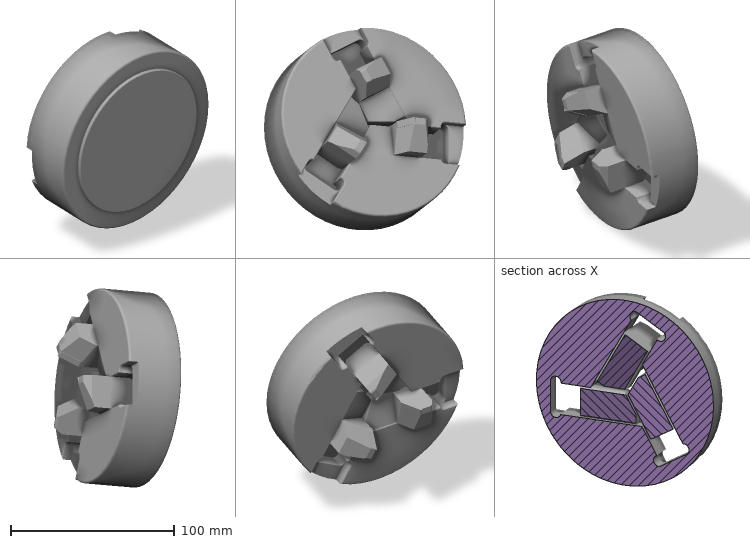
import cadquery as cq
import math


body_radius = 60
body_length = 34.8
rim_radius = 1.5
boss_radius = 48
boss_length = 2.2
boss_chamfer = 0.5

station_count = 3
slot_width = 20.0
slot_depth = 15.2
edge_chamfer = 0.5
relief_inner_u = 43.5
relief_outer_u = 50.0
relief_corner_radius = 3.0
relief_top_w = 4.0
relief_bottom_w = -22.3
ledge_depth = 6

jaw_inner_u = -7.5
jaw_outer_u = 30.4
nose_inner_u = 12.8
foot_chamfer = 2.4
jaw_offsets = [0, 2.4, 2.4]
holder_front_x = -17.3
front_relief_angle = 22.5
shelf_root_x = 7.2
shelf_angle = 18
corner_start_u = 27.7
corner_angle = 60
corner_radius = 1.7

tip_x = -18
tip_u = 20.2
insert_back_x = -4.5
insert_thickness = 4.2
apex_half_angle = 30
insert_nose_radius = 0.8
insert_relief_angle = 6.5
flank_setback = 0.2
flank_relief_angle = 7.5


def tangent(angle):
    """Tangent of an angle in degrees."""
    return math.tan(math.radians(angle))


station_angle = 360 / station_count
miter_slope = 1 / tangent(180 - station_angle)
apex_slope = tangent(apex_half_angle)
apex_x = tip_x - insert_nose_radius
clearance = 2 * body_radius


def across_plane(x):
    """Workplane at depth x with local axes (u, w); it extrudes forwards, towards -X."""
    return cq.Workplane(cq.Plane(origin=(x, 0, 0), xDir=(0, -1, 0), normal=(-1, 0, 0)))


def side_plane(w):
    """Workplane at height w with local axes (u, x); it extrudes upwards, towards +w."""
    return cq.Workplane(cq.Plane(origin=(0, 0, w), xDir=(0, -1, 0), normal=(0, 0, 1)))


def at_station(shape, index):
    """Turn a shape from the first station to the given one."""
    return shape.rotate((0, 0, 0), (-1, 0, 0), index * station_angle)


def make_slot():
    """Space of one slot: a channel from the mitre at the axis, an end relief and a rim ledge."""
    channel = (
        across_plane(slot_depth)
        .polyline([
            (0, 0),
            (relief_outer_u - relief_corner_radius, 0),
            (relief_outer_u - relief_corner_radius, -slot_width),
            (-slot_width * miter_slope, -slot_width),
        ])
        .close()
        .extrude(slot_depth)
    )
    relief_length = relief_outer_u - relief_inner_u
    relief_width = relief_top_w - relief_bottom_w
    relief_middle_u = (relief_inner_u + relief_outer_u) / 2
    relief_middle_w = (relief_top_w + relief_bottom_w) / 2
    relief = (
        across_plane(slot_depth)
        .center(relief_middle_u, relief_middle_w)
        .rect(relief_length, relief_width)
        .extrude(slot_depth)
        .edges("|X")
        .fillet(relief_corner_radius)
    )
    ledge = (
        across_plane(ledge_depth)
        .center(relief_middle_u + body_radius / 2, relief_middle_w)
        .rect(body_radius, relief_width)
        .extrude(ledge_depth)
    )
    return channel.union(relief).union(ledge)


def make_body():
    """Disc with a rear boss, three slots with chamfered front edges, and rounded rims."""
    disc = cq.Workplane("YZ").circle(body_radius).extrude(body_length)
    rounded_disc = disc.edges("%CIRCLE").fillet(rim_radius)
    slot = make_slot()
    for index in range(station_count):
        disc = disc.cut(at_station(slot, index))
    disc = (
        disc.faces("<X")
        .edges()
        .filter(lambda edge: edge.geomType() != "CIRCLE" or edge.radius() < body_radius / 2)
        .chamfer(edge_chamfer)
    )
    boss = cq.Workplane("YZ", origin=(body_length, 0, 0)).circle(boss_radius).extrude(boss_length)
    boss = boss.faces(">X").chamfer(boss_chamfer)
    return disc.intersect(rounded_disc).union(boss)


def make_insert():
    """Triangular insert flush with the cutting face, narrowing below it."""
    half_width = (insert_back_x - apex_x) * apex_slope
    return (
        side_plane(0)
        .polyline([
            (tip_u, apex_x),
            (tip_u - half_width, insert_back_x),
            (tip_u + half_width, insert_back_x),
        ])
        .close()
        .extrude(-insert_thickness, taper=insert_relief_angle)
        .edges("not #Z")
        .fillet(insert_nose_radius)
    )


def jaw_block():
    """Full-height jaw with its mitred inner end, from the slot floor to the front face."""
    return (
        across_plane(slot_depth)
        .polyline([
            (0, 0),
            (jaw_outer_u, 0),
            (jaw_outer_u, -slot_width),
            (jaw_inner_u, -slot_width),
            (jaw_inner_u, jaw_inner_u / miter_slope),
        ])
        .close()
        .extrude(slot_depth - holder_front_x)
        .faces(">X")
        .edges("|Y")
        .chamfer(foot_chamfer)
    )


def front_relief():
    """Space in front of the face that slopes back below the insert."""
    drop = slot_width
    return (
        cq.Workplane("XZ", origin=(0, clearance, 0))
        .polyline([
            (holder_front_x, -insert_thickness),
            (holder_front_x + drop * tangent(front_relief_angle), -insert_thickness - drop),
            (holder_front_x, -insert_thickness - drop),
        ])
        .close()
        .extrude(2 * clearance)
    )


def outer_corner():
    """Space outside the slanted outer corner, which is blended into the front face."""
    blend = corner_radius * tangent(corner_angle / 2)
    turn = math.radians(corner_angle)
    middle = turn / 2
    slant_end_x = holder_front_x + (jaw_outer_u - corner_start_u) * math.tan(turn)
    arc_start_u = corner_start_u - blend
    return (
        side_plane(-slot_width)
        .moveTo(arc_start_u, holder_front_x)
        .threePointArc(
            (
                arc_start_u + corner_radius * math.sin(middle),
                holder_front_x + corner_radius * (1 - math.cos(middle)),
            ),
            (
                corner_start_u + blend * math.cos(turn),
                holder_front_x + blend * math.sin(turn),
            ),
        )
        .lineTo(jaw_outer_u, slant_end_x)
        .lineTo(jaw_outer_u, holder_front_x)
        .close()
        .extrude(slot_width)
    )


def flank_space():
    """Space inside the slanted inner flank, which leans outwards below the cutting face."""
    shift_per_offset = 1 / math.cos(math.radians(apex_half_angle))
    insert_shift = insert_thickness * tangent(insert_relief_angle) * shift_per_offset
    below = slot_width - insert_thickness
    flank_shift = below * tangent(flank_relief_angle) * shift_per_offset
    flank_step = insert_shift + flank_setback
    flank_top_u = tip_u + flank_step
    outline = (
        side_plane(-insert_thickness)
        .polyline([
            (flank_top_u, apex_x),
            (flank_top_u - (slot_depth - apex_x) * apex_slope, slot_depth),
            (-clearance, slot_depth),
            (-clearance, apex_x),
        ])
        .close()
        .wire()
        .val()
    )
    upper = cq.Solid.extrudeLinear(outline, [], cq.Vector(0, flank_step, insert_thickness))
    lower = cq.Solid.extrudeLinear(outline, [], cq.Vector(0, -flank_shift, -below))
    return cq.Workplane(upper).union(cq.Workplane(lower))


def shelf_space():
    """Space over the tilted shelf, on the inner side of the nose."""
    return (
        cq.Workplane("XZ", origin=(0, -nose_inner_u, 0))
        .polyline([
            (shelf_root_x, 0),
            (shelf_root_x - slot_width * tangent(shelf_angle), -slot_width),
            (holder_front_x, -slot_width),
            (holder_front_x, 0),
        ])
        .close()
        .extrude(-clearance)
    )


def make_jaw():
    """Jaw of the first station with its inner corner on the axis."""
    block = jaw_block()
    nose_side = (
        across_plane(slot_depth)
        .center(nose_inner_u + clearance / 2, 0)
        .rect(clearance, clearance)
        .extrude(clearance)
    )
    nose = block.intersect(nose_side).cut(flank_space())
    foot = block.cut(nose_side).cut(shelf_space())
    holder = nose.union(foot).cut(front_relief()).cut(outer_corner())
    return holder.union(make_insert(), clean=False)


body = make_body()
jaw = make_jaw()
jaws = [
    at_station(jaw.translate((0, -offset, 0)), index).val()
    for index, offset in enumerate(jaw_offsets)
]

result = cq.Compound.makeCompound([body.val(), *jaws])